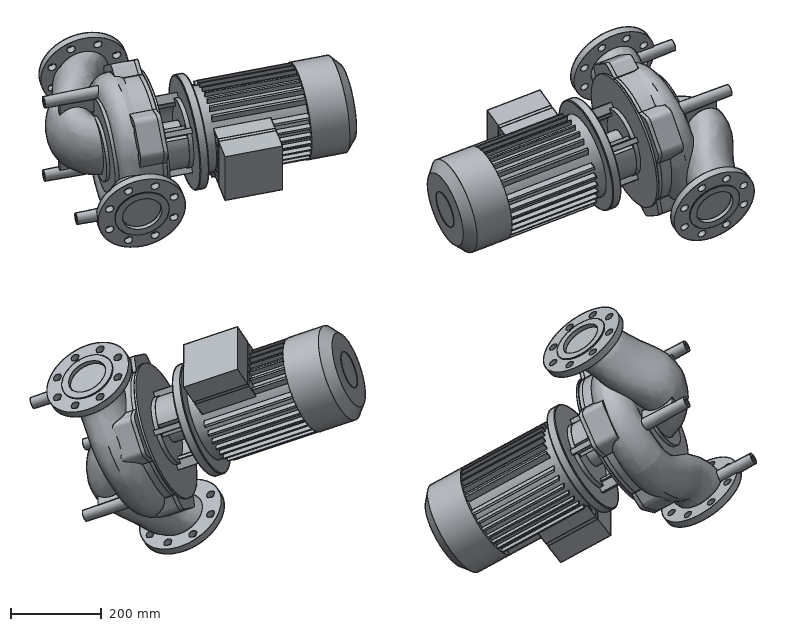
import cadquery as cq
import math


INLET_FACE_X = -270
OUTLET_FACE_X = 230
FLANGE_RADIUS = 100
FLANGE_THICKNESS = 17
RAISED_FACE_RADIUS = 62
RAISED_FACE_HEIGHT = 3
FLANGE_DEPTH = FLANGE_THICKNESS + RAISED_FACE_HEIGHT
PORT_RADIUS = 45
PORT_DEPTH = 10
FLANGE_HOLES = 8
FLANGE_HOLE_CIRCLE = 80
FLANGE_HOLE_DIAMETER = 19

DRUM_RADIUS = 154
DRUM_BOTTOM_Y = 17.6
JOINT_Y = 71
COVER_PAD_TOP_Y = 80
COVER_TOP_Y = 85
COVER_LIP_RADIUS = 157
FACE_RADIUS = 117
FACE_Y = -31
EYE_RADIUS = 74
EYE_Y = -38.7
VOLUTE_START_TUBE = 40
VOLUTE_END_TUBE = 49
VOLUTE_START_Y = 17
VOLUTE_END_Y = 11
VOLUTE_START_RADIUS = 116.6
VOLUTE_END_RADIUS = 132.6
VOLUTE_START_ANGLE = 0
VOLUTE_GROWTH_ANGLE = 90
VOLUTE_END_ANGLE = 270
VOLUTE_STEP = 30

PAD_FLAT_DISTANCE = 178
PAD_HALF_WIDTH = 43
PAD_ROOT_HALF_WIDTH = 60
PAD_ROOT_DISTANCE = 143
PAD_CORNER_RADIUS = 16
PAD_ANGLES = (45, 135, 225, 315)
PAD_HOLE_DIAMETER = 14
PAD_HOLE_CIRCLE = 158.5
PAD_HOLE_HALF_ANGLE = 9

LEG_X = -62.6
LEG_Z = 110.5
OUTLET_LEG_X = 206
LEG_BASE_RADIUS = 14.8
LEG_TIP_RADIUS = 13
LEG_TIP_Y = -144.6
LEG_BASE_Y = -10
OUTLET_LEG_BASE_Y = -45
LEG_HOLE_DIAMETER = 12
LEG_HOLE_DEPTH = 20
WEB_THICKNESS = 12
WEB_END_Y = -110
WEB_INNER_Z = 60

LANTERN_RADIUS = 78
LANTERN_BORE_RADIUS = 62
RING_RADIUS = 79
RING_HEIGHT = 10
WINDOW_HALF_WIDTH = 39
LANTERN_WEB_RADIUS = 70
SIDE_WALL_HALF_HEIGHT = 44
RIB_OUTER_RADIUS = 90.5
RIB_INNER_RADIUS = 66
RIB_WIDTH = 12
RIB_ANGLES = (45, 135, 225, 315)
SHAFT_RADIUS = 30

MOTOR_FLANGE_Y = 160
MOTOR_FLANGE_RADIUS = 130
MOTOR_FLANGE_THICKNESS = 21
MOTOR_FLANGE_CHAMFER = 2
CORE_RADIUS = 98
FIN_BOTTOM_Y = 206.7
HOOD_BOTTOM_Y = 422
MOTOR_RADIUS = 110
FIN_PITCH = 20
FIN_THICKNESS = 4
FIN_COUNT_PER_SIDE = 3

HOOD_TOP_Y = 531
HOOD_CHAMFER_HEIGHT = 22
HOOD_CHAMFER_WIDTH = 24
CAP_RADIUS = 42
CAP_TOP_Y = 532.43

BOX_OUTER_X = 168
BOX_TOP_Y = 338.6
BOX_HALF_HEIGHT = 66
BOX_SEAM_X = 116
BOX_BASE_RIM_X = 108
SEAM_INSET = 0.6


def disc(radius, y_start, y_end):
    """Cylinder on the shaft axis between two heights."""
    return cq.Workplane("XZ", origin=(0, y_start, 0)).circle(radius).extrude(y_start - y_end)


def block(x_range, y_range, z_range):
    """Box given by its limits along each axis."""
    size = [end - start for start, end in (x_range, y_range, z_range)]
    return cq.Workplane("XY").box(*size, centered=False).translate((x_range[0], y_range[0], z_range[0]))


def ellipse_wire(center, normal, semi_side, semi_z):
    """Elliptical section across a duct; an equal pair of semi-axes gives a circle."""
    side = cq.Vector(*normal).cross(cq.Vector(0, 0, 1))
    plane = cq.Plane(origin=center, xDir=side, normal=normal)
    return cq.Workplane(plane).ellipse(semi_side, semi_z).wire().val()


def circle_wire(center, normal, radius):
    return cq.Wire.makeCircle(radius, cq.Vector(*center), cq.Vector(*normal))


def volute_spiral():
    """Round tube winding around the axis, growing thicker and moving outward as it goes."""
    sections = []
    for angle in range(VOLUTE_START_ANGLE, VOLUTE_END_ANGLE + 1, VOLUTE_STEP):
        growth = max(0, (angle - VOLUTE_GROWTH_ANGLE) / (VOLUTE_END_ANGLE - VOLUTE_GROWTH_ANGLE))
        spine = VOLUTE_START_RADIUS + growth * (VOLUTE_END_RADIUS - VOLUTE_START_RADIUS)
        tube = VOLUTE_START_TUBE + growth * (VOLUTE_END_TUBE - VOLUTE_START_TUBE)
        y = VOLUTE_START_Y + growth * (VOLUTE_END_Y - VOLUTE_START_Y)
        cos, sin = math.cos(math.radians(angle)), math.sin(math.radians(angle))
        center = (spine * cos, y, spine * sin)
        sections.append(circle_wire(center, (-sin, 0, cos), tube))
    return cq.Workplane(cq.Solid.makeLoft(sections))


def outlet_duct():
    """Widening S-shaped duct from the end of the spiral to the outlet flange."""
    stations = [
        (0, VOLUTE_END_Y, -VOLUTE_END_RADIUS, 0, VOLUTE_END_TUBE),
        (48, 9, -125, 22, 49.5),
        (91, 5, -97, 45, 51),
        (132, 3, -47, 48, 53),
        (172, 2, -11, 26, 57.5),
        (OUTLET_FACE_X - FLANGE_DEPTH, 0, 0, 0, 57.5),
    ]
    sections = []
    for x, y, z, heading, radius in stations:
        angle = math.radians(heading)
        sections.append(circle_wire((x, y, z), (math.cos(angle), 0, math.sin(angle)), radius))
    return cq.Workplane(cq.Solid.makeLoft(sections))


def inlet_duct():
    """Duct that widens into a flat oval and bends up into the suction eye."""
    stations = [
        (INLET_FACE_X + FLANGE_DEPTH, -4, 0, 58, 60),
        (-169, -41, 0, 58.5, 82.5),
        (-105, -69, 0, 61, 88),
        (-72, -77, 6, 58, 86),
        (-22, -58, 45, 52, 76),
        (-5, -20, 90, 52, 66),
    ]
    sections = []
    for x, y, heading, semi_side, semi_z in stations:
        angle = math.radians(heading)
        sections.append(ellipse_wire((x, y, 0), (math.cos(angle), math.sin(angle), 0), semi_side, semi_z))
    return cq.Workplane(cq.Solid.makeLoft(sections))


def pipe_flange(face_x, inward):
    """Drilled flange with a raised face; inward is the X direction into the pump."""
    face = cq.Plane(origin=(face_x, 0, 0), xDir=(0, 1, 0), normal=(inward, 0, 0))
    flange = cq.Workplane(face).circle(RAISED_FACE_RADIUS).extrude(FLANGE_DEPTH)
    back = cq.Workplane(face).workplane(offset=RAISED_FACE_HEIGHT)
    plate = back.circle(FLANGE_RADIUS).extrude(FLANGE_THICKNESS)
    holes = (
        cq.Workplane(face)
        .polarArray(FLANGE_HOLE_CIRCLE, 180 / FLANGE_HOLES, 360, FLANGE_HOLES)
        .circle(FLANGE_HOLE_DIAMETER / 2)
        .extrude(FLANGE_DEPTH)
    )
    port = cq.Workplane(face).circle(PORT_RADIUS).extrude(PORT_DEPTH)
    return flange.union(plate).cut(holes).cut(port)


def padded_drum(y_start, y_end):
    """Round drum with a rounded bolt pad on each diagonal."""
    drum = disc(DRUM_RADIUS, y_start, y_end)
    pad = (
        cq.Workplane("XZ", origin=(0, y_start, 0))
        .polyline([
            (0, -PAD_ROOT_HALF_WIDTH),
            (PAD_ROOT_DISTANCE, -PAD_ROOT_HALF_WIDTH),
            (PAD_FLAT_DISTANCE, -PAD_HALF_WIDTH),
            (PAD_FLAT_DISTANCE, PAD_HALF_WIDTH),
            (PAD_ROOT_DISTANCE, PAD_ROOT_HALF_WIDTH),
            (0, PAD_ROOT_HALF_WIDTH),
        ])
        .close()
        .extrude(y_start - y_end)
        .edges("|Y and >X")
        .fillet(PAD_CORNER_RADIUS)
    )
    for angle in PAD_ANGLES:
        drum = drum.union(pad.rotate((0, 0, 0), (0, 1, 0), angle))
    return drum


def pad_holes():
    """Two bolt holes through each pad, up to the lantern."""
    centers = []
    for angle in PAD_ANGLES:
        for offset in (-PAD_HOLE_HALF_ANGLE, PAD_HOLE_HALF_ANGLE):
            bearing = math.radians(angle + offset)
            centers.append((PAD_HOLE_CIRCLE * math.cos(bearing), PAD_HOLE_CIRCLE * math.sin(bearing)))
    return (
        cq.Workplane("XZ", origin=(0, DRUM_BOTTOM_Y, 0))
        .pushPoints(centers)
        .circle(PAD_HOLE_DIAMETER / 2)
        .extrude(DRUM_BOTTOM_Y - JOINT_Y)
    )


def leg_rod(x, z, base_y):
    """Solid tapered rod, also the shape of the seat a leg needs in the casing."""
    tip = cq.Vector(x, LEG_TIP_Y, z)
    length = base_y - LEG_TIP_Y
    return cq.Workplane(cq.Solid.makeCone(LEG_TIP_RADIUS, LEG_BASE_RADIUS, length, tip, cq.Vector(0, 1, 0)))


def make_leg(x, z, base_y):
    """Tapered leg with a blind hole in its tip."""
    tip = cq.Vector(x, LEG_TIP_Y, z)
    hole = cq.Solid.makeCylinder(LEG_HOLE_DIAMETER / 2, LEG_HOLE_DEPTH, tip, cq.Vector(0, 1, 0))
    return leg_rod(x, z, base_y).cut(cq.Workplane(hole))


LEG_PLACES = (
    (LEG_X, LEG_Z, LEG_BASE_Y),
    (LEG_X, -LEG_Z, LEG_BASE_Y),
    (OUTLET_LEG_X, 0, OUTLET_LEG_BASE_Y),
)


def make_casing():
    """Pump casing with its ducts, flanges and leg webs."""
    half_web = WEB_THICKNESS / 2
    web_x = (LEG_X - half_web, LEG_X + half_web)
    web_y = (WEB_END_Y, FACE_Y)
    additions = [
        disc(FACE_RADIUS, FACE_Y, JOINT_Y),
        disc(EYE_RADIUS, EYE_Y, JOINT_Y),
        block(web_x, web_y, (WEB_INNER_Z, LEG_Z)),
        block(web_x, web_y, (-LEG_Z, -WEB_INNER_Z)),
        pipe_flange(INLET_FACE_X, 1),
        pipe_flange(OUTLET_FACE_X, -1),
        inlet_duct(),
        outlet_duct(),
        volute_spiral(),
    ]
    casing = padded_drum(DRUM_BOTTOM_Y, JOINT_Y).cut(pad_holes())
    for addition in additions:
        casing = casing.union(addition)
    for place in LEG_PLACES:
        casing = casing.cut(leg_rod(*place))
    return casing


def make_lantern():
    """Casing cover with an open lantern that carries the motor."""
    y_range = (COVER_TOP_Y, MOTOR_FLANGE_Y)
    side_walls = disc(LANTERN_RADIUS, *y_range).intersect(
        block(
            (-LANTERN_RADIUS, LANTERN_RADIUS),
            y_range,
            (-SIDE_WALL_HALF_HEIGHT, SIDE_WALL_HALF_HEIGHT),
        )
    )
    wall = disc(LANTERN_WEB_RADIUS, *y_range).union(side_walls).cut(disc(LANTERN_BORE_RADIUS, *y_range))
    window = block(
        (-WINDOW_HALF_WIDTH, WINDOW_HALF_WIDTH),
        y_range,
        (-LANTERN_RADIUS, LANTERN_RADIUS),
    )
    wall = wall.cut(window)
    rib = block((RIB_INNER_RADIUS, RIB_OUTER_RADIUS), y_range, (-RIB_WIDTH / 2, RIB_WIDTH / 2))
    for angle in RIB_ANGLES:
        wall = wall.union(rib.rotate((0, 0, 0), (0, 1, 0), angle))
    rings = disc(RING_RADIUS, COVER_TOP_Y, COVER_TOP_Y + RING_HEIGHT).union(
        disc(RING_RADIUS, MOTOR_FLANGE_Y - RING_HEIGHT, MOTOR_FLANGE_Y)
    )
    rings = rings.cut(disc(SHAFT_RADIUS, COVER_TOP_Y, MOTOR_FLANGE_Y))
    cover = padded_drum(JOINT_Y, COVER_PAD_TOP_Y).union(disc(COVER_LIP_RADIUS, COVER_PAD_TOP_Y, COVER_TOP_Y))
    return cover.union(wall).union(rings)


def make_motor():
    """Flanged motor body with parallel cooling fins on its four sides."""
    flange_top = MOTOR_FLANGE_Y + MOTOR_FLANGE_THICKNESS
    flange = disc(MOTOR_FLANGE_RADIUS, MOTOR_FLANGE_Y, flange_top).edges().chamfer(MOTOR_FLANGE_CHAMFER)
    fin_y = (FIN_BOTTOM_Y, HOOD_BOTTOM_Y)
    reach = (-MOTOR_RADIUS, MOTOR_RADIUS)
    fins = cq.Workplane("XY")
    for index in range(-FIN_COUNT_PER_SIDE, FIN_COUNT_PER_SIDE + 1):
        middle = index * FIN_PITCH
        slab = (middle - FIN_THICKNESS / 2, middle + FIN_THICKNESS / 2)
        fins = fins.add(block(slab, fin_y, reach)).add(block(reach, fin_y, slab))
    fins = disc(MOTOR_RADIUS, *fin_y).intersect(fins.combine())
    return flange.union(disc(CORE_RADIUS, flange_top, HOOD_BOTTOM_Y)).union(fins)


def make_hood():
    """Fan hood with a tapered end and a low round cap."""
    return (
        cq.Workplane("XY")
        .moveTo(0, HOOD_BOTTOM_Y)
        .lineTo(MOTOR_RADIUS, HOOD_BOTTOM_Y)
        .lineTo(MOTOR_RADIUS, HOOD_TOP_Y - HOOD_CHAMFER_HEIGHT)
        .lineTo(MOTOR_RADIUS - HOOD_CHAMFER_WIDTH, HOOD_TOP_Y)
        .lineTo(CAP_RADIUS, HOOD_TOP_Y)
        .lineTo(CAP_RADIUS, CAP_TOP_Y)
        .lineTo(0, CAP_TOP_Y)
        .close()
        .revolve(360, (0, 0, 0), (0, 1, 0))
    )


def make_box_base(motor):
    """Terminal box base fitted around the motor, with a slightly inset rim."""
    y_range = (FIN_BOTTOM_Y, BOX_TOP_Y)
    z_range = (-BOX_HALF_HEIGHT, BOX_HALF_HEIGHT)
    base = block((0, BOX_BASE_RIM_X), y_range, z_range)
    rim = block(
        (BOX_BASE_RIM_X, BOX_SEAM_X),
        (y_range[0] + SEAM_INSET, y_range[1] - SEAM_INSET),
        (z_range[0] + SEAM_INSET, z_range[1] - SEAM_INSET),
    )
    return base.union(rim).cut(disc(CORE_RADIUS, *y_range)).cut(motor)


def make_box_cover():
    return block(
        (BOX_SEAM_X, BOX_OUTER_X),
        (FIN_BOTTOM_Y, BOX_TOP_Y),
        (-BOX_HALF_HEIGHT, BOX_HALF_HEIGHT),
    )


casing = make_casing()
legs = [make_leg(*place) for place in LEG_PLACES]
lantern = make_lantern()
shaft = disc(SHAFT_RADIUS, COVER_TOP_Y, MOTOR_FLANGE_Y)
motor = make_motor()
hood = make_hood()
box_base = make_box_base(motor)
box_cover = make_box_cover()

bodies = [casing, lantern, shaft, motor, hood, box_base, box_cover, *legs]
result = cq.Compound.makeCompound([body.solids().val() for body in bodies])